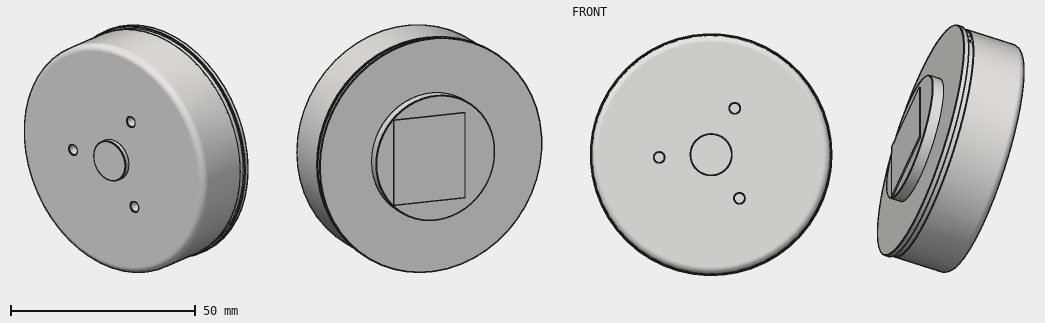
import cadquery as cq
import math


shell_radius = 32.3
shell_length = 15.2
shell_rim_fillet = 1.8

mount_hole_count = 3
mount_circle_radius = 14.05
mount_first_angle = 63.0
mount_hole_radius = 1.4
mount_hole_depth = 3.9
mount_countersink = 0.2

band_radius = 32.1
flange_radius = 32.7
boss_radius = 17.45
band_front = shell_length
flange_front = 16.7
flange_rear = 18.25
boss_rear = 21.45
base_chamfer = 0.2

slot_start_angle = 164.4
slot_end_angle = 171.7
slot_depth = 1.2

shaft_radius = 5.7
shaft_protrusion = 1.45
shaft_chamfer = 0.2
shaft_recess_depth = 3.9

plate_left = -8.5
plate_right = 12.4
plate_height = 23.8
overall_length = 23.3
plate_thickness = overall_length - shaft_protrusion - boss_rear


def disc(radius, front, rear):
    """Cylinder on the motor axis between two depths."""
    return cq.Workplane("XZ", origin=(0, front, 0)).circle(radius).extrude(front - rear)


def make_shaft():
    shaft = disc(shaft_radius, -shaft_protrusion, shaft_recess_depth)
    return shaft.faces("<Y").chamfer(shaft_chamfer)


def make_mount_hole(angle):
    """Cutter for one blind hole with its countersink, at an angle from +X toward +Z."""
    x = mount_circle_radius * math.cos(math.radians(angle))
    z = mount_circle_radius * math.sin(math.radians(angle))
    profile = [
        (0, 0),
        (mount_hole_radius + mount_countersink, 0),
        (mount_hole_radius, mount_countersink),
        (mount_hole_radius, mount_hole_depth),
        (0, mount_hole_depth),
    ]
    hole = cq.Workplane("XY").polyline(profile).close().revolve(360, (0, 0), (0, 1))
    return hole.translate((x, 0, z))


def make_shell():
    shell = disc(shell_radius, 0, shell_length).faces("<Y").edges().fillet(shell_rim_fillet)
    shell = shell.cut(disc(shaft_radius, 0, shaft_recess_depth))
    for i in range(mount_hole_count):
        shell = shell.cut(make_mount_hole(mount_first_angle + i * 360 / mount_hole_count))
    return shell


def make_slot():
    """Cutter for the band slot: a ring sector with radial side walls."""
    sector_angle = slot_end_angle - slot_start_angle
    sector = (
        cq.Workplane("XY")
        .moveTo(band_radius - slot_depth, band_front)
        .lineTo(flange_radius, band_front)
        .lineTo(flange_radius, flange_front)
        .lineTo(band_radius - slot_depth, flange_front)
        .close()
        .revolve(sector_angle, (0, 0), (0, -1))
    )
    return sector.rotate((0, 0, 0), (0, 1, 0), -slot_start_angle)


def make_base():
    band = disc(band_radius, band_front, flange_front).faces("<Y").chamfer(base_chamfer)
    flange = disc(flange_radius, flange_front, flange_rear).edges().chamfer(base_chamfer)
    boss = disc(boss_radius, flange_rear, boss_rear).faces(">Y").chamfer(base_chamfer)
    base = band.union(flange).union(boss)
    return base.cut(make_slot())


def make_plate():
    plate = cq.Workplane("XY").box(
        plate_right - plate_left, plate_thickness, plate_height, centered=(False, False, True)
    )
    return plate.translate((plate_left, boss_rear, 0))


shaft = make_shaft()
shell = make_shell()
base = make_base()
plate = make_plate()

result = cq.Compound.makeCompound([shell.val(), base.val(), shaft.val(), plate.val()])